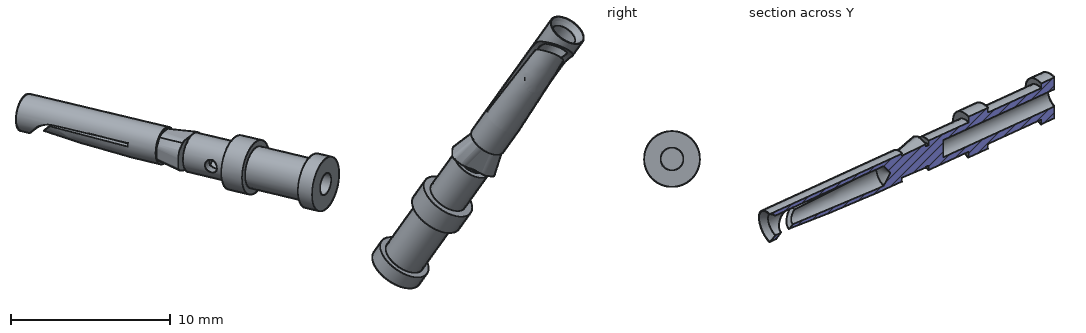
import cadquery as cq
import math


length = 21.5
sleeve_end = 10.0
collar_end = 11.8
neck_end = 12.0
flange_start = 15.0
flange_end = 16.5
rim_start = 20.5

sleeve_radius = 1.2
neck_radius = 0.88
body_radius = 1.27
flange_diameter = 3.5
flange_radius = flange_diameter / 2
barrel_radius = 1.35

mouth_radius = 1.16
throat_radius = 1.0
socket_radius = 0.82
mouth_depth = 0.22
throat_depth = 0.43
socket_depth = 8.6
drill_half_angle = 59.0

wire_radius = 0.7
wire_start = 13.12
inspection_x = 14.0
inspection_radius = 0.43

tongue_root = 8.0
tongue_tip = 1.38
tongue_top = -0.02
tongue_shoulder = 2.28
slot_top = 0.22
slot_arc_end = 2.7
slot_arc_radius = 1.91
slot_cut_angle = 45.0
below_part = -flange_radius
tongue_tip_radius = 0.95
tongue_tip_bore = 0.54
point_start = 4.52
point_large_radius = 1.15
point_small_radius = 0.9
point_offset = 0.075

collar_front = [(0.24, 1.03), (0.69, 0.85), (0.9, 0.5), (1.03, 0.22),
                (1.03, -0.4), (0.92, -0.6), (0.65, -0.84), (0.24, -0.88)]
collar_rear = [(0.55, 1.08), (0.95, 0.99), (1.38, 0.67), (1.53, 0.17),
               (1.53, -0.47), (1.33, -0.75), (0.92, -0.92), (0.55, -0.95)]
corner_bulge = 0.032


def cylinder(start, end, radius):
    return cq.Workplane("YZ", origin=(start, 0, 0)).circle(radius).extrude(end - start)


def revolve_about_axis(outline):
    return cq.Workplane("XZ").polyline(outline).close().revolve(360, (0, 0, 0), (1, 0, 0))


def turned_body():
    steps = [
        (0, sleeve_end, sleeve_radius),
        (sleeve_end, neck_end, neck_radius),
        (neck_end, flange_start, body_radius),
        (flange_start, flange_end, flange_radius),
        (flange_end, rim_start, barrel_radius),
        (rim_start, length, flange_radius),
    ]
    outline = [(0, 0)]
    for start, end, radius in steps:
        outline += [(start, radius), (end, radius)]
    outline.append((length, 0))
    return revolve_about_axis(outline)


def socket_bore():
    drill_tip = socket_radius / math.tan(math.radians(drill_half_angle))
    return revolve_about_axis([
        (0, 0),
        (0, mouth_radius),
        (mouth_depth, throat_radius),
        (throat_depth, socket_radius),
        (socket_depth, socket_radius),
        (socket_depth + drill_tip, 0),
    ])


def collar_outline(plane, half):
    """Closed outline of flats joined by slightly bulged arcs, mirrored about Y = 0."""
    mirrored = [(-y, z) for y, z in reversed(half)]
    points = half + mirrored
    outline = plane.moveTo(*points[0])
    for index in range(1, len(points)):
        y0, z0 = points[index - 1]
        y1, z1 = points[index]
        rounded = index % 2 == 1
        if rounded:
            middle_y = (y0 + y1) / 2
            middle_z = (z0 + z1) / 2
            stretch = 1 + corner_bulge / math.hypot(middle_y, middle_z)
            outline = outline.threePointArc((middle_y * stretch, middle_z * stretch), (y1, z1))
        else:
            outline = outline.lineTo(y1, z1)
    return outline.close()


def flared_collar():
    front = collar_outline(cq.Workplane("YZ", origin=(sleeve_end, 0, 0)), collar_front)
    both = collar_outline(front.workplane(offset=collar_end - sleeve_end), collar_rear)
    return both.loft(ruled=True, combine=True)


def tongue_window():
    """Everything below the slot's upper edge, from the sloped front cut to the tongue root."""
    arc_angle = math.radians(slot_cut_angle)
    arc_start_x = slot_arc_end - slot_arc_radius * math.sin(arc_angle)
    arc_start_z = slot_top - slot_arc_radius * (1 - math.cos(arc_angle))
    arc_middle = (
        slot_arc_end - slot_arc_radius * math.sin(arc_angle / 2),
        slot_top - slot_arc_radius * (1 - math.cos(arc_angle / 2)),
    )
    return (
        cq.Workplane("XZ")
        .moveTo(tongue_root, slot_top)
        .lineTo(slot_arc_end, slot_top)
        .threePointArc(arc_middle, (arc_start_x, arc_start_z))
        .lineTo(arc_start_x - (arc_start_z - below_part) / math.tan(arc_angle), below_part)
        .lineTo(tongue_root, below_part)
        .close()
        .extrude(flange_radius, both=True)
    )


def spring_tongue():
    """Lower half of a tapering tube, narrowed again toward its tip and cut parallel to the slot."""
    tube = revolve_about_axis([
        (tongue_tip, tongue_tip_bore),
        (tongue_tip, tongue_tip_radius),
        (tongue_root, sleeve_radius),
        (tongue_root, socket_radius),
    ])
    slope = (point_large_radius - point_small_radius) / (point_start - tongue_tip)
    root_radius = point_large_radius + slope * (tongue_root - point_start)
    point = revolve_about_axis([
        (tongue_tip, 0),
        (tongue_tip, point_small_radius),
        (tongue_root, root_radius),
        (tongue_root, 0),
    ]).translate((0, 0, point_offset))
    tip_run = (tongue_top - below_part) / math.tan(math.radians(slot_cut_angle))
    side = (
        cq.Workplane("XZ")
        .polyline([
            (tongue_root, tongue_top),
            (tongue_shoulder, tongue_top),
            (tongue_shoulder - tip_run, below_part),
            (tongue_root, below_part),
        ])
        .close()
        .extrude(flange_radius, both=True)
    )
    return tube.intersect(point).intersect(side)


def inspection_hole():
    return (
        cq.Workplane("XZ", origin=(inspection_x, 0, 0))
        .circle(inspection_radius)
        .extrude(flange_radius)
    )


result = turned_body().union(flared_collar())
result = result.cut(socket_bore()).cut(cylinder(wire_start, length, wire_radius))
result = result.cut(inspection_hole())
result = result.cut(tongue_window()).union(spring_tongue())